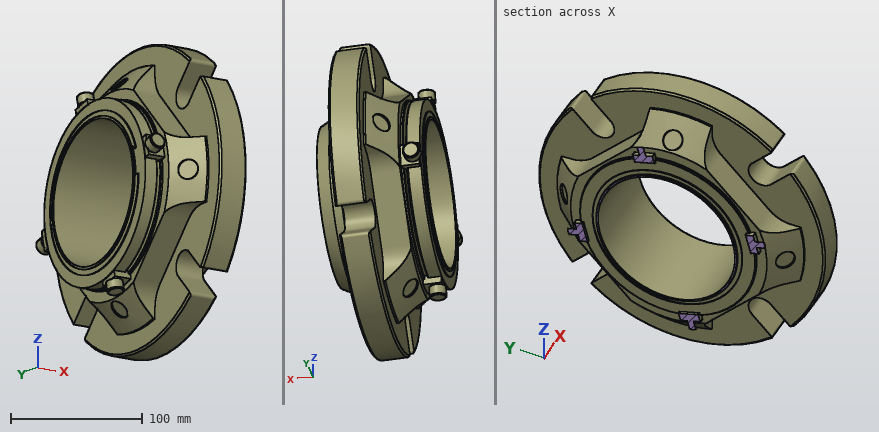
import cadquery as cq
import math


bore_diameter = 114.3
sleeve_diameter = 118.26
overall_length = 83.46
ring_front_x = 0.7
ring_outer_diameter = 127.0
ring_gap_start_angle = 180.0
ring_gap_end_angle = 159.3
ring_gap_tip_angle = 160.2
ring_tip_radius = 61.2
ring_gap_inner_angle = 156.0
collar_front_x = 1.4
collar_back_x = 12.2
collar_diameter = 146.05
collar_chamfer = 0.6

lip_front_x = 13.6
lip_diameter = 125.4
register_front_x = 14.4
register_diameter = 147.57
register_chamfer = 0.6
body_front_x = 16.5
body_front_radius = 82.2
cone_back_x = 37.7
flat_distance = 76.0
lobe_half_width = 25.8
lobe_fillet = 25.4

port_diameter = 15.5
port_depth = 1.5
side_port_radius = 92.8
end_port_radius = 89.0

flange_diameter = 240.03
flange_front_x = 39.2
flange_back_x = 63.0
flange_chamfer = 1.5
slot_count = 4
first_slot_angle = 45.0
slot_width = 22.0
slot_end_radius = 95.0
slot_mouth_fillet = 2.4

raised_face_diameter = 163.5
raised_face_back_x = 63.8
spigot_diameter = 136.14
spigot_tip_diameter = 125.4
spigot_straight_end_x = 72.9

clip_count = 4
first_clip_angle = 75.0
clip_width = 17.4
clip_inner_radius = 70.6
clip_outer_radius = 77.6
clip_front_x = 1.8
clip_back_x = 16.1
screw_diameter = 13.0
screw_top_radius = 85.9
screw_center_x = screw_diameter / 2
screw_top_chamfer = 0.9


def disc(diameter, start_x, end_x):
    """Round disc on the X axis between two positions."""
    return cq.Workplane("YZ").workplane(offset=start_x).circle(diameter / 2).extrude(end_x - start_x)


def turned(points):
    """Solid turned about the X axis from (x, radius) points."""
    return cq.Workplane("XY").polyline(points).close().revolve(360, (0, 0, 0), (1, 0, 0))


def about_axis(shape, angle):
    """Turn a shape about X; a shape on +Y goes to the given angle towards +Z."""
    return shape.rotate((0, 0, 0), (1, 0, 0), angle)


def polar(radius, angle):
    """(y, z) of a point given by its radius and angle."""
    return (radius * math.cos(math.radians(angle)), radius * math.sin(math.radians(angle)))


def make_collar():
    return disc(collar_diameter, collar_front_x, collar_back_x).faces(">X").edges().chamfer(collar_chamfer)


def make_snap_ring():
    ring = disc(ring_outer_diameter, ring_front_x, collar_back_x)
    inner_radius = sleeve_diameter / 2
    outside_radius = collar_diameter / 2
    gap_outline = [
        polar(inner_radius, ring_gap_start_angle),
        polar(outside_radius, ring_gap_start_angle),
        polar(outside_radius, ring_gap_end_angle),
        polar(ring_tip_radius, ring_gap_tip_angle),
        polar(inner_radius, ring_gap_inner_angle),
    ]
    gap = cq.Workplane("YZ").polyline(gap_outline).close().extrude(collar_front_x)
    return ring.cut(gap)


def make_register():
    """Stepped disc in front of the body, with a smaller lip towards the collar."""
    lip = disc(lip_diameter, lip_front_x, register_front_x)
    register = disc(register_diameter, register_front_x, body_front_x)
    return lip.union(register.faces("<X").edges().chamfer(register_chamfer))


def make_port(center_radius, angle):
    """Shallow round recess, square to the 45 degree cone."""
    center = cq.Vector(body_front_x + center_radius - body_front_radius, center_radius, 0)
    outward = cq.Vector(-1, 1, 0).normalized()
    floor = center - outward * port_depth
    port = cq.Solid.makeCylinder(port_diameter / 2, port_diameter, floor, outward)
    return about_axis(cq.Workplane(port), angle)


def make_body():
    cone_back_radius = body_front_radius + cone_back_x - body_front_x
    cone = turned([
        (body_front_x, 0),
        (body_front_x, body_front_radius),
        (cone_back_x, cone_back_radius),
        (flange_front_x, cone_back_radius),
        (flange_front_x, 0),
    ])
    prism_length = flange_front_x - body_front_x
    bar_length = 2 * flange_diameter
    plane = cq.Workplane("YZ").workplane(offset=body_front_x)
    prism = about_axis(plane.rect(2 * flat_distance, 2 * flat_distance).extrude(prism_length), 45)
    prism = prism.union(plane.rect(bar_length, 2 * lobe_half_width).extrude(prism_length))
    prism = prism.union(plane.rect(2 * lobe_half_width, bar_length).extrude(prism_length))
    reach = flange_diameter / 2
    inside_corners = cq.selectors.BoxSelector((0, -reach, -reach), (overall_length, reach, reach))
    prism = prism.edges("|X").edges(inside_corners).fillet(lobe_fillet)
    body = cone.intersect(prism)
    for side_angle in (0, 180):
        body = body.cut(make_port(side_port_radius, side_angle))
        body = body.cut(make_port(end_port_radius, side_angle + 90))
    return body


def make_slot():
    """Slot along +Y with a round inner end, reaching beyond the rim."""
    thickness = flange_back_x - flange_front_x
    slot_length = flange_diameter / 2
    plane = cq.Workplane("YZ").workplane(offset=flange_front_x)
    round_end = plane.center(slot_end_radius, 0).circle(slot_width / 2).extrude(thickness)
    straight_center = slot_end_radius + slot_length / 2
    straight = plane.center(straight_center, 0).rect(slot_length, slot_width).extrude(thickness)
    return round_end.union(straight)


def is_slot_mouth(edge):
    """True for an edge at the rim that is well away from the Y and Z axes."""
    center = edge.Center()
    at_rim = math.hypot(center.y, center.z) > slot_end_radius + slot_width / 2
    return at_rim and min(abs(center.y), abs(center.z)) > slot_end_radius / 2


def make_flange():
    flange = disc(flange_diameter, flange_front_x, flange_back_x)
    for index in range(slot_count):
        flange = flange.cut(about_axis(make_slot(), first_slot_angle + index * 360 / slot_count))
    flange = flange.edges("|X").filter(is_slot_mouth).fillet(slot_mouth_fillet)
    rim = disc(flange_diameter, flange_front_x, flange_back_x).edges().chamfer(flange_chamfer)
    return flange.intersect(rim)


def make_spigot():
    return turned([
        (flange_back_x, 0),
        (flange_back_x, raised_face_diameter / 2),
        (raised_face_back_x, raised_face_diameter / 2),
        (raised_face_back_x, spigot_diameter / 2),
        (spigot_straight_end_x, spigot_diameter / 2),
        (overall_length, spigot_tip_diameter / 2),
        (overall_length, 0),
    ])


def make_clip(angle):
    """Spacer block with a screw head standing on it."""
    block_length = clip_back_x - clip_front_x
    block_height = clip_outer_radius - clip_inner_radius
    block = cq.Workplane("XY", origin=(clip_front_x, clip_inner_radius, 0))
    block = block.box(block_length, block_height, clip_width, centered=(False, False, True))
    head = (
        cq.Workplane("XZ", origin=(screw_center_x, clip_outer_radius, 0))
        .circle(screw_diameter / 2)
        .extrude(clip_outer_radius - screw_top_radius)
        .faces(">Y")
        .chamfer(screw_top_chamfer)
    )
    return about_axis(block.union(head), angle)


def make_result():
    part = disc(sleeve_diameter, 0, flange_back_x)
    part = part.union(make_snap_ring()).union(make_collar())
    part = part.union(make_register()).union(make_body()).union(make_flange()).union(make_spigot())
    for index in range(clip_count):
        part = part.union(make_clip(first_clip_angle + index * 360 / clip_count))
    return part.cut(disc(bore_diameter, 0, overall_length))


result = make_result()